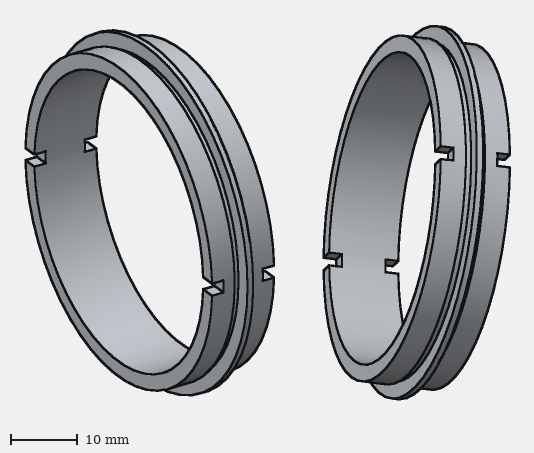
import cadquery as cq

ring_width = 11.0
body_diameter = 52.0
bore_diameter = 47.0

flange_diameter = 56.0
flange_thickness = 1.0
groove_diameter = 51.0
groove_span = 3.0

notch_width = 2.0
notch_depth = 2.0


def disc(diameter, width):
    """Solid disc along Y, centred on the XZ plane."""
    return cq.Workplane("XZ", origin=(0, width / 2, 0)).circle(diameter / 2).extrude(width)


def end_notch(end):
    """Bar along X that notches both sides of the ring at one end (+1 or -1 in Y)."""
    center_y = end * (ring_width - notch_depth) / 2
    bar = cq.Workplane("XY").box(flange_diameter, notch_depth, notch_width)
    return bar.translate((0, center_y, 0))


groove_cutter = disc(flange_diameter, groove_span).cut(disc(groove_diameter, groove_span))
ring = disc(body_diameter, ring_width).cut(groove_cutter)
ring = ring.union(disc(flange_diameter, flange_thickness))
ring = ring.cut(disc(bore_diameter, ring_width))

for end in (-1, 1):
    ring = ring.cut(end_notch(end))

result = ring